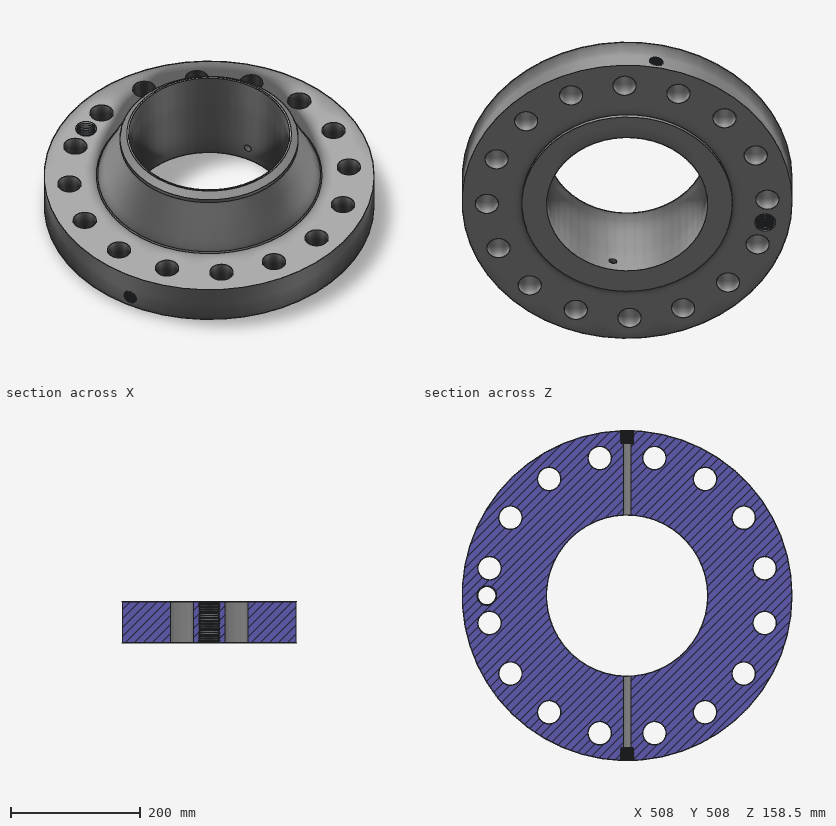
import cadquery as cq

flange_diameter = 508.0
raised_face_diameter = 324.0
raised_face_height = 6.5
flange_thickness = 63.5

overall_height = 158.5
foot_diameter = 347.5
hub_diameter = 343.5
foot_height = 2.0
weld_end_diameter = 274.5
bevel_height = 8.5
weld_end_length = 6.0
land_diameter = 253.5
bore_diameter = 248.0

bolt_count = 16
bolt_circle_diameter = 432.0
bolt_hole_diameter = 35.5

jack_major_diameter = 32.0
jack_minor_diameter = 28.0
jack_thread_count = 17

tap_height = 24.0
tap_drill_diameter = 12.0
tap_mouth_diameter = 21.5
tap_thread_depth = 1.5
tap_thread_pitch = 1.85
tap_thread_count = 11
tap_taper_ratio = 1 / 16

flange_top = raised_face_height + flange_thickness
bevel_start = overall_height - bevel_height
weld_end_start = bevel_start - weld_end_length
flange_radius = flange_diameter / 2
bolt_circle_radius = bolt_circle_diameter / 2


def flange_and_neck():
    """Revolve the half section of the flange, neck and bore around Z."""
    half_section = [
        (bore_diameter / 2, 0),
        (raised_face_diameter / 2, 0),
        (raised_face_diameter / 2, raised_face_height),
        (flange_radius, raised_face_height),
        (flange_radius, flange_top),
        (foot_diameter / 2, flange_top),
        (hub_diameter / 2, flange_top + foot_height),
        (weld_end_diameter / 2, weld_end_start),
        (weld_end_diameter / 2, bevel_start),
        (land_diameter / 2, overall_height),
        (bore_diameter / 2, overall_height),
    ]
    return cq.Workplane("XZ").polyline(half_section).close().revolve(360, (0, 0), (0, 1))


def bolt_holes():
    """Through holes on the bolt circle, straddling the X and Y axes."""
    first_angle = 180 / bolt_count
    return (
        cq.Workplane("XY")
        .polarArray(bolt_circle_radius, first_angle, 360, bolt_count)
        .circle(bolt_hole_diameter / 2)
        .extrude(flange_top)
    )


def threaded_plug(start_diameter, thread_depth, pitch, thread_count, taper_ratio=0):
    """Solid of a threaded hole that starts at the origin and runs along +Z."""
    length = pitch * thread_count
    profile = [(0, 0)]
    for thread in range(thread_count):
        start = thread * pitch
        middle = start + pitch / 2
        wide_radius = (start_diameter - taper_ratio * start) / 2
        narrow_radius = (start_diameter - taper_ratio * middle) / 2 - thread_depth
        profile.append((wide_radius, start))
        profile.append((narrow_radius, middle))
    profile.append(((start_diameter - taper_ratio * length) / 2, length))
    profile.append((0, length))
    return cq.Workplane("XZ").polyline(profile).close().revolve(360, (0, 0), (0, 1))


def jack_screw_hole():
    """Threaded hole through the full flange thickness on the -X side."""
    thread_depth = (jack_major_diameter - jack_minor_diameter) / 2
    pitch = flange_thickness / jack_thread_count
    plug = threaded_plug(jack_major_diameter, thread_depth, pitch, jack_thread_count)
    return plug.translate((-bolt_circle_radius, 0, raised_face_height))


def pressure_tap():
    """Radial hole from the -Y rim into the bore, with a tapered thread at the rim."""
    drill = (
        cq.Workplane("XZ", origin=(0, 0, tap_height))
        .circle(tap_drill_diameter / 2)
        .extrude(flange_radius)
    )
    mouth = threaded_plug(
        tap_mouth_diameter, tap_thread_depth, tap_thread_pitch, tap_thread_count, tap_taper_ratio
    )
    mouth = mouth.rotate((0, 0, 0), (1, 0, 0), -90)
    return drill.union(mouth.translate((0, -flange_radius, tap_height)))


result = flange_and_neck().cut(bolt_holes()).cut(jack_screw_hole())
for tap_angle in (0, 180):
    result = result.cut(pressure_tap().rotate((0, 0, 0), (0, 0, 1), tap_angle))